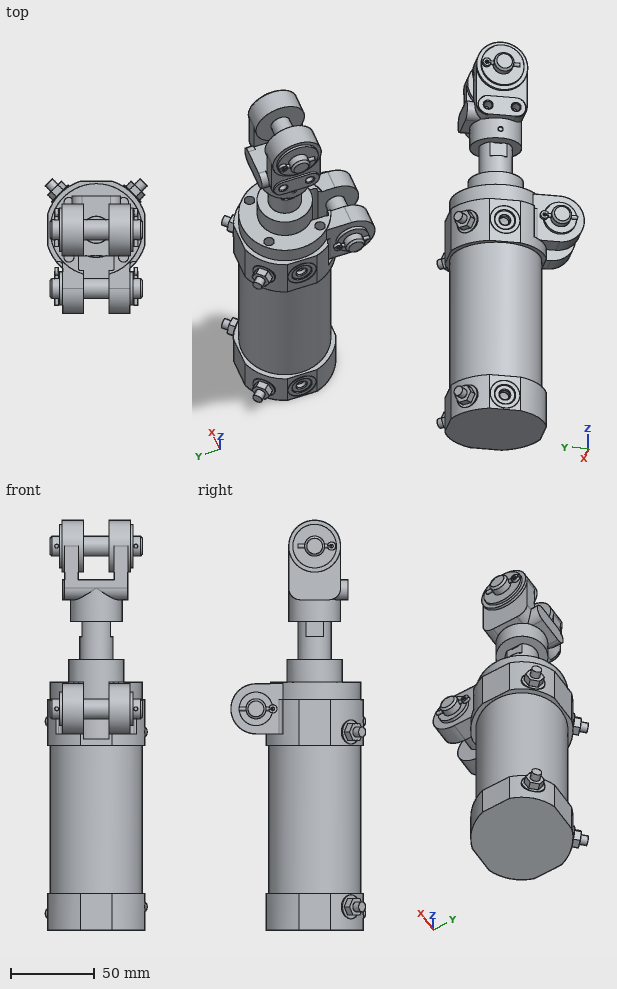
import cadquery as cq
import math

BARREL_DIA = 55.0
CAP_DIA = 61.0
FLAT_DISTANCE = 29.0
CAP_TOP = 22.0
HEAD_BOTTOM = 110.0
HEAD_STEP = 137.5
HEAD_TOP = 148.0
COVER_DIA = 33.0
COVER_TOP = 161.5

EAR_RADIUS = 15.0
EAR_PIN_Y = -35.0
EAR_PIN_Z = 132.0
EAR_OUTER = 20.0
EAR_INNER = 7.5
EAR_BOTTOM = EAR_PIN_Z - EAR_RADIUS
EAR_WASHER_DIA = 20.0
SIDE_CUT_Y = -18.8
SIDE_CUT_FILLET = 2.5
SLOT_FLOOR = 114.0
SLOT_WIDE_HALF = 10.65
SLOT_STEP_Y = -24.2
SLOT_CORNER_RADIUS = 1.0

TOP_HOLE_DIA = 6.0
TOP_HOLE_DEPTH = 10.0
TOP_HOLE_CIRCLE_DIA = 46.0
TOP_HOLE_COUNT = 4
TOP_HOLE_START_ANGLE = 45.0
PORT_FACE_DIA = 18.0
PORT_FACE_DEPTH = 0.3
PORT_DIA = 13.0
PORT_FLOOR_DIA = 12.0
PORT_FLOOR_DEPTH = 0.8
PORT_DRILL_MOUTH_DIA = 7.2
PORT_DRILL_DIA = 6.0
PORT_DRILL_DEPTH = 4.0
DRILL_TIP_ANGLE = 118.0
CAP_PORT_Z = 10.0
HEAD_PORT_Z = 124.5

LEFT_VALVE_ANGLE = 135.0
RIGHT_VALVE_ANGLE = 45.0
RIGHT_CAP_VALVE_Z = 14.0
RIGHT_HEAD_VALVE_Z = 118.2
VALVES = [
    (LEFT_VALVE_ANGLE, CAP_PORT_Z),
    (LEFT_VALVE_ANGLE, HEAD_PORT_Z),
    (RIGHT_VALVE_ANGLE, RIGHT_CAP_VALVE_Z),
    (RIGHT_VALVE_ANGLE, RIGHT_HEAD_VALVE_Z),
]
VALVE_START = 25.0
VALVE_SEAT_END = 30.7
VALVE_NUT_END = 35.2
VALVE_TIP_END = 40.04
VALVE_SEAT_DIA = 14.38
VALVE_NUT_ACROSS_CORNERS = 11.55
VALVE_TIP_DIA = 6.0

ROD_DIA = 20.0
ROD_FLAT_WIDTH = 17.0
ROD_FLAT_BOTTOM = 175.0
ROD_SHOULDER = 184.0
ROD_END_DIA = 16.0

CLEVIS_DIA = 31.0
CLEVIS_BASE = 197.0
CLEVIS_FLOOR = 209.0
CLEVIS_PIN_Z = 229.0
FORK_OUTER = 18.8
FORK_INNER = 10.65
FORK_FILLET = 7.0
BOSS_OUTER = 20.5
BOSS_INNER = 7.5
CLEVIS_WASHER_DIA = 26.0
ROD_HOLE_DIA = 16.2
SET_SCREW_DIA = 3.0
SET_SCREW_Z = 190.0
SET_SCREW_DEPTH = 1.0
PAD_LENGTH = 29.0
PAD_HEIGHT = CLEVIS_FLOOR - CLEVIS_BASE
PAD_Z = (CLEVIS_BASE + CLEVIS_FLOOR) / 2
PAD_LEFT_FACE = 20.0
PAD_BACK_FACE = 20.0
PAD_HOLE_SPACING = PAD_LENGTH - PAD_HEIGHT
PAD_HOLE_DIA = 4.92
PAD_HOLE_MOUTH_DIA = 6.0
PAD_HOLE_DEPTH = 8.0

PIN_DIA = 12.0
PIN_HALF_LENGTH = 27.7
PIN_CHAMFER = 1.3
WASHER_FACE = 22.0
SPLIT_PIN_DIA = 2.3
SPLIT_PIN_X = 23.6
SPLIT_PIN_TAIL = 10.0
SPLIT_PIN_EYE_Y = 10.1
SPLIT_PIN_EYE_DIA = 4.92
SPLIT_PIN_EYE_HOLE_DIA = 2.0
SPLIT_PIN_EYE_WIDTH = 2.1


def disc(dia, bottom, top):
    """Cylinder about the Z axis."""
    return cq.Workplane("XY", origin=(0, 0, bottom)).circle(dia / 2).extrude(top - bottom)


def block(x_range, y_range, z_range):
    """Box between two corners."""
    size = [high - low for low, high in (x_range, y_range, z_range)]
    return cq.Workplane("XY", origin=(x_range[0], y_range[0], z_range[0])).box(*size, centered=False)


def cross_bar(dia, x_range, y, z):
    """Cylinder along X."""
    return cq.Workplane("YZ", origin=(x_range[0], y, z)).circle(dia / 2).extrude(x_range[1] - x_range[0])


def both_sides(solid):
    """The solid and its mirror image across the YZ plane."""
    return solid.union(solid.mirror("YZ"))


def flatted_disc(bottom, top):
    """Round block with four side flats."""
    side = 2 * FLAT_DISTANCE
    square = cq.Workplane("XY", origin=(0, 0, bottom)).rect(side, side).extrude(top - bottom)
    return disc(CAP_DIA, bottom, top).intersect(square)


def mounting_ear():
    """Ear on the +X side with its rounded end and washer."""
    top = EAR_BOTTOM + 2 * EAR_RADIUS
    ear = block((EAR_INNER, EAR_OUTER), (EAR_PIN_Y, SIDE_CUT_Y), (EAR_BOTTOM, top))
    ear = ear.union(cross_bar(2 * EAR_RADIUS, (EAR_INNER, EAR_OUTER), EAR_PIN_Y, EAR_PIN_Z))
    return ear.union(cross_bar(EAR_WASHER_DIA, (EAR_OUTER, WASHER_FACE), EAR_PIN_Y, EAR_PIN_Z))


def side_cut():
    """Clearance beside the +X ear, with a round inner corner."""
    cut = block((EAR_OUTER, CAP_DIA), (-CAP_DIA, SIDE_CUT_Y), (EAR_BOTTOM, HEAD_STEP))
    return cut.edges("|Z and <X and >Y").fillet(SIDE_CUT_FILLET)


def head_slot():
    """Slot from the cover out to the -Y side, stepping narrower between the ears."""
    wide = block((-SLOT_WIDE_HALF, SLOT_WIDE_HALF), (SLOT_STEP_Y, 0), (SLOT_FLOOR, HEAD_TOP))
    wide = wide.edges("|Z and <Y").fillet(SLOT_CORNER_RADIUS)
    narrow = block((-EAR_INNER, EAR_INNER), (-CAP_DIA, 0), (SLOT_FLOOR, HEAD_TOP))
    return wide.union(narrow)


def port(height):
    """Stepped port cut into the -X flat."""
    tip = PORT_DRILL_DIA / 2 / math.tan(math.radians(DRILL_TIP_ANGLE / 2))
    drill_mouth = (PORT_DRILL_MOUTH_DIA - PORT_DRILL_DIA) / 2
    profile = [
        (0, 0),
        (0, PORT_FACE_DIA / 2),
        (PORT_FACE_DEPTH, PORT_FACE_DIA / 2),
        (PORT_FACE_DEPTH, PORT_DIA / 2),
        (PORT_FLOOR_DEPTH, PORT_FLOOR_DIA / 2),
        (PORT_FLOOR_DEPTH, PORT_DRILL_MOUTH_DIA / 2),
        (PORT_FLOOR_DEPTH + drill_mouth, PORT_DRILL_DIA / 2),
        (PORT_DRILL_DEPTH, PORT_DRILL_DIA / 2),
        (PORT_DRILL_DEPTH + tip, 0),
    ]
    hole = cq.Workplane("XY").polyline(profile).close().revolve(360, (0, 0, 0), (1, 0, 0))
    return hole.translate((-FLAT_DISTANCE, 0, height))


def needle_valve(angle, height):
    """Seat, hexagon and round tip standing out from the side."""
    start = cq.Workplane("YZ", origin=(VALVE_START, 0, 0))
    seat = start.circle(VALVE_SEAT_DIA / 2).extrude(VALVE_SEAT_END - VALVE_START)
    nut = start.polygon(6, VALVE_NUT_ACROSS_CORNERS).extrude(VALVE_NUT_END - VALVE_START)
    tip = start.circle(VALVE_TIP_DIA / 2).extrude(VALVE_TIP_END - VALVE_START)
    valve = seat.union(nut).union(tip)
    return valve.rotate((0, 0, 0), (0, 0, 1), angle).translate((0, 0, height))


def piston_rod():
    """Rod with two wrench flats and a thinner end."""
    rod = disc(ROD_DIA, HEAD_TOP, ROD_SHOULDER)
    flats = both_sides(
        block((ROD_FLAT_WIDTH / 2, ROD_DIA), (-ROD_DIA, ROD_DIA), (ROD_FLAT_BOTTOM, ROD_SHOULDER))
    )
    return rod.cut(flats).union(disc(ROD_END_DIA, HEAD_TOP, CLEVIS_FLOOR))


def make_cylinder():
    head = flatted_disc(HEAD_BOTTOM, HEAD_STEP).union(disc(BARREL_DIA, HEAD_STEP, HEAD_TOP))
    head = head.cut(both_sides(side_cut())).union(both_sides(mounting_ear())).cut(head_slot())
    top_holes = (
        cq.Workplane("XY", origin=(0, 0, HEAD_TOP - TOP_HOLE_DEPTH))
        .polarArray(TOP_HOLE_CIRCLE_DIA / 2, TOP_HOLE_START_ANGLE, 360, TOP_HOLE_COUNT)
        .circle(TOP_HOLE_DIA / 2)
        .extrude(TOP_HOLE_DEPTH)
    )
    head = head.cut(top_holes)
    body = flatted_disc(0, CAP_TOP).union(disc(BARREL_DIA, CAP_TOP, HEAD_BOTTOM)).union(head)
    body = body.union(disc(COVER_DIA, HEAD_BOTTOM, COVER_TOP)).union(piston_rod())
    for angle, height in VALVES:
        body = body.union(needle_valve(angle, height))
    for height in (CAP_PORT_Z, HEAD_PORT_Z):
        body = body.cut(port(height))
    return body.cut(cross_bar(PIN_DIA, (-WASHER_FACE, WASHER_FACE), EAR_PIN_Y, EAR_PIN_Z))


def clevis_fork():
    """U-shaped fork with rounded lower edges, ear bosses and washers."""
    half = CLEVIS_DIA / 2
    fork = block((-FORK_OUTER, FORK_OUTER), (-half, half), (CLEVIS_BASE, CLEVIS_PIN_Z))
    fork = fork.edges("|X and <Z").fillet(FORK_FILLET)
    fork = fork.cut(block((-FORK_INNER, FORK_INNER), (-half, half), (CLEVIS_FLOOR, CLEVIS_PIN_Z)))
    boss = cross_bar(CLEVIS_DIA, (BOSS_INNER, BOSS_OUTER), 0, CLEVIS_PIN_Z)
    washer = cross_bar(CLEVIS_WASHER_DIA, (BOSS_OUTER, WASHER_FACE), 0, CLEVIS_PIN_Z)
    return fork.union(both_sides(boss.union(washer)))


def left_pad():
    """Rounded pad on the -X side."""
    pad = cq.Workplane("YZ", origin=(-PAD_LEFT_FACE, 0, PAD_Z)).slot2D(PAD_LENGTH, PAD_HEIGHT)
    return pad.extrude(PAD_LEFT_FACE - FORK_INNER)


def back_pad():
    """Rounded pad on the +Y side."""
    pad = cq.Workplane("XZ", origin=(0, PAD_BACK_FACE, PAD_Z)).slot2D(PAD_LENGTH, PAD_HEIGHT)
    return pad.extrude(PAD_BACK_FACE)


def pad_holes():
    """Two chamfered holes in the -X pad."""
    mouth = (PAD_HOLE_MOUTH_DIA - PAD_HOLE_DIA) / 2
    face = cq.Workplane("YZ", origin=(-PAD_LEFT_FACE, 0, PAD_Z))
    spots = face.pushPoints([(-PAD_HOLE_SPACING / 2, 0), (PAD_HOLE_SPACING / 2, 0)])
    holes = spots.circle(PAD_HOLE_DIA / 2).extrude(PAD_HOLE_DEPTH)
    return holes.union(spots.circle(PAD_HOLE_MOUTH_DIA / 2).extrude(mouth, taper=45))


def make_clevis():
    clevis = clevis_fork().union(disc(CLEVIS_DIA, ROD_SHOULDER, CLEVIS_FLOOR))
    clevis = clevis.union(left_pad()).union(back_pad()).cut(pad_holes())
    clevis = clevis.cut(disc(ROD_HOLE_DIA, ROD_SHOULDER, CLEVIS_FLOOR))
    screw_floor = SET_SCREW_DEPTH - CLEVIS_DIA / 2
    clevis = clevis.cut(cross_bar(SET_SCREW_DIA, (-CLEVIS_DIA, screw_floor), 0, SET_SCREW_Z))
    return clevis.cut(cross_bar(PIN_DIA, (-WASHER_FACE, WASHER_FACE), 0, CLEVIS_PIN_Z))


def make_split_pin(x, y, z):
    """Straight pin along Y with an eye at its +Y end."""
    stem = cq.Workplane("XZ", origin=(0, -SPLIT_PIN_TAIL, 0)).circle(SPLIT_PIN_DIA / 2)
    stem = stem.extrude(-(SPLIT_PIN_TAIL + SPLIT_PIN_EYE_Y))
    half = SPLIT_PIN_EYE_WIDTH / 2
    eye = cross_bar(SPLIT_PIN_EYE_DIA, (-half, half), SPLIT_PIN_EYE_Y, 0)
    eye_hole = cross_bar(SPLIT_PIN_EYE_HOLE_DIA, (-half, half), SPLIT_PIN_EYE_Y, 0)
    return stem.union(eye).cut(eye_hole).translate((x, y, z))


def make_pin(y, z):
    """Chamfered clevis pin along X with a cross hole near each end."""
    pin = cross_bar(PIN_DIA, (-PIN_HALF_LENGTH, PIN_HALF_LENGTH), y, z)
    pin = pin.faces("<X or >X").chamfer(PIN_CHAMFER)
    for x in (-SPLIT_PIN_X, SPLIT_PIN_X):
        hole = cq.Workplane("XZ", origin=(x, y - PIN_DIA, z)).circle(SPLIT_PIN_DIA / 2)
        pin = pin.cut(hole.extrude(-2 * PIN_DIA))
    return pin


cylinder = make_cylinder()
clevis = make_clevis()

pins = []
split_pins = []
for pin_y, pin_z in ((EAR_PIN_Y, EAR_PIN_Z), (0, CLEVIS_PIN_Z)):
    pins.append(make_pin(pin_y, pin_z).val())
    for side in (-1, 1):
        split_pins.append(make_split_pin(side * SPLIT_PIN_X, pin_y, pin_z).val())

result = cq.Compound.makeCompound([cylinder.val(), clevis.val(), *pins, *split_pins])